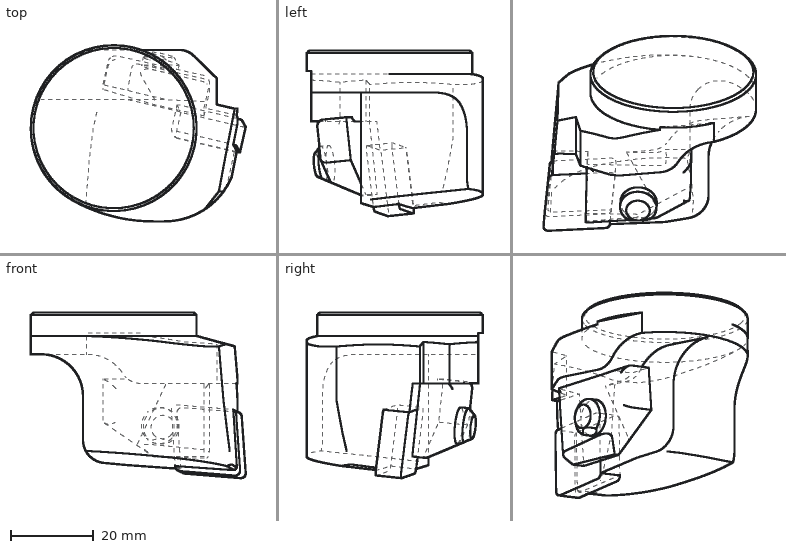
import cadquery as cq
import math


REACH = 62.25

COLLAR_DIAMETER = 40.0
COLLAR_RADIUS = COLLAR_DIAMETER / 2
COLLAR_CHAMFER = 0.7
SHOULDER_Z = -5.65
SHOULDER_ANGLE = 15.0
FULL_COLLAR_DEPTH = 5.0

BACK_Y = 18.9
BACK_BEND_X = 15.75
BACK_BEND_RADIUS = 5.1
SHELF_X = 24.9
SHELF_FRONT_Y = 5.7
SHELF_BACK_Y = 12.0
RAKE_TOP = (28.85, 4.75)
FRONT_Y = -22.5
FRONT_FLAT_START = 9.45
FRONT_FLAT_END = 12.25
FRONT_RIGHT_RADIUS = 17.65
FRONT_LEFT_RADIUS = 38.9

COLLAR_BOTTOM_Z = -10.1
NECK_X = -7.4
NECK_RADIUS = 10.0
BOTTOM_LEFT_RADIUS = 5.6
BLOCK_BACK_Y = 6.9
BOTTOM_START = (-2.95, BLOCK_BACK_Y, -36.25)
BOTTOM_SLOPE_X = -0.0935
BOTTOM_SLOPE_Y = -0.097

OVERHANG_Z = -17.1
OVERHANG_ARC_START_X = -6.2
OVERHANG_EDGE_RADIUS = 5.0

RELIEF_X = 27.6
RELIEF_SLOPE_Y = 0.192
RELIEF_SLOPE_Z = -0.0853
FACET_POINTS = ((25.35, -15.25, -8.25), (21.75, -19.85, -8.2), (26.55, -15.4, -23.2))

INSERT_TIP = cq.Vector(31.95, 0.1, -40.1)
INSERT_SIDE = 16.15
INSERT_ANGLE = 80.0
INSERT_THICKNESS = 6.35
INSERT_NOSE_RADIUS = 1.2
TIP_RELIEF = 2.1
RAKE_NORMAL = cq.Vector(0.225, 1.0, -0.107)
BOTTOM_EDGE = cq.Vector(-1.0, 0.234, 0.082)
RAKE_PLANE = cq.Plane(origin=INSERT_TIP, xDir=BOTTOM_EDGE, normal=RAKE_NORMAL)

FINGER_LEFT_X = -2.6
FINGER_RIGHT_X = 21.8
FINGER_TOP_Z = -16.1
FINGER_FLAT_END_Z = -26.45
FINGER_TIP_Z = -34.75
FINGER_HEIGHT = 7.8
FINGER_EDGE = 2.1
FINGER_TIP_SLOPE_START = (BLOCK_BACK_Y, -34.9)
FINGER_TIP_SLOPE_END = (15.25, -31.4)
BOSS_CENTRE = (9.35, -26.45)
BOSS_RADIUS = 4.4
BOSS_HEIGHT = 11.3
BOSS_CHAMFER = 1.55


def half_space(point, normal):
    """Large block filling the side of a plane that its normal points to."""
    plane = cq.Plane(origin=point, normal=normal)
    return cq.Workplane(plane).rect(2 * REACH, 2 * REACH).extrude(REACH)


def make_envelope():
    """Turned shape that bounds the collar and the sloping shoulder."""
    shoulder_radius = COLLAR_RADIUS + REACH
    shoulder_edge_z = SHOULDER_Z - REACH * math.tan(math.radians(SHOULDER_ANGLE))
    return (
        cq.Workplane("XZ")
        .moveTo(0, 0)
        .lineTo(COLLAR_RADIUS - COLLAR_CHAMFER, 0)
        .lineTo(COLLAR_RADIUS, -COLLAR_CHAMFER)
        .lineTo(COLLAR_RADIUS, SHOULDER_Z)
        .lineTo(shoulder_radius, shoulder_edge_z)
        .lineTo(shoulder_radius, -REACH)
        .lineTo(0, -REACH)
        .close()
        .revolve(360, (0, 0), (0, 1))
    )


def make_plan_column():
    """Holder outline extruded downwards."""
    arc_centre_y = FRONT_Y + FRONT_LEFT_RADIUS
    to_collar = COLLAR_RADIUS / (FRONT_LEFT_RADIUS - COLLAR_RADIUS)
    collar_tangent = (-FRONT_FLAT_START * to_collar, -arc_centre_y * to_collar)
    back_start_x = math.sqrt(COLLAR_RADIUS**2 - BACK_Y**2)
    bend = BACK_BEND_RADIUS * math.sin(math.radians(45))
    bend_end = (BACK_BEND_X + bend, BACK_Y - BACK_BEND_RADIUS + bend)
    right_arc_end = (FRONT_FLAT_END + FRONT_RIGHT_RADIUS, FRONT_Y + FRONT_RIGHT_RADIUS)
    return (
        cq.Workplane("XY")
        .moveTo(back_start_x, BACK_Y)
        .lineTo(BACK_BEND_X, BACK_Y)
        .radiusArc(bend_end, BACK_BEND_RADIUS)
        .lineTo(SHELF_X, SHELF_BACK_Y)
        .lineTo(SHELF_X, SHELF_FRONT_Y)
        .lineTo(*RAKE_TOP)
        .lineTo(right_arc_end[0], RAKE_TOP[1])
        .lineTo(*right_arc_end)
        .radiusArc((FRONT_FLAT_END, FRONT_Y), FRONT_RIGHT_RADIUS)
        .lineTo(FRONT_FLAT_START, FRONT_Y)
        .radiusArc(collar_tangent, FRONT_LEFT_RADIUS)
        .threePointArc((-COLLAR_RADIUS, 0), (back_start_x, BACK_Y))
        .close()
        .extrude(-REACH)
    )


def make_back_flat_cut():
    """Space behind the flat back, below the full-round part of the collar."""
    below_collar = half_space((0, 0, -FULL_COLLAR_DEPTH), (0, 0, -1))
    return half_space((0, BACK_Y, 0), (0, 1, 0)).intersect(below_collar)


def make_left_cut():
    """Space left of the neck, with the large arc under the collar and the lower corner arc."""
    slope = math.atan(-BOTTOM_SLOPE_X)
    corner_x = NECK_X + BOTTOM_LEFT_RADIUS
    corner_end_x = corner_x - BOTTOM_LEFT_RADIUS * math.sin(slope)
    corner_end_z = BOTTOM_START[2] - BOTTOM_SLOPE_X * (BOTTOM_START[0] - corner_end_x)
    corner_z = corner_end_z + BOTTOM_LEFT_RADIUS * math.cos(slope)
    neck_arc_x = NECK_X - NECK_RADIUS
    return (
        cq.Workplane("XZ", origin=(0, BLOCK_BACK_Y, 0))
        .moveTo(-REACH, COLLAR_BOTTOM_Z)
        .lineTo(neck_arc_x, COLLAR_BOTTOM_Z)
        .radiusArc((NECK_X, COLLAR_BOTTOM_Z - NECK_RADIUS), NECK_RADIUS)
        .lineTo(NECK_X, corner_z)
        .radiusArc((corner_end_x, corner_end_z), -BOTTOM_LEFT_RADIUS)
        .lineTo(corner_end_x, -REACH)
        .lineTo(-REACH, -REACH)
        .close()
        .extrude(REACH)
    )


def make_rear_cut():
    """Space behind the block, below an overhang shaped by a hollow and a rounded edge."""
    edge_centre_z = OVERHANG_Z + OVERHANG_EDGE_RADIUS
    hollow_centre_z = COLLAR_BOTTOM_Z - NECK_RADIUS
    arcs_span = NECK_RADIUS + OVERHANG_EDGE_RADIUS
    turn = math.acos((edge_centre_z - hollow_centre_z) / arcs_span)
    meet_x = OVERHANG_ARC_START_X + NECK_RADIUS * math.sin(turn)
    meet_z = hollow_centre_z + NECK_RADIUS * math.cos(turn)
    edge_end_x = OVERHANG_ARC_START_X + arcs_span * math.sin(turn)
    return (
        cq.Workplane("XZ", origin=(0, BLOCK_BACK_Y, 0))
        .moveTo(-REACH, COLLAR_BOTTOM_Z)
        .lineTo(OVERHANG_ARC_START_X, COLLAR_BOTTOM_Z)
        .radiusArc((meet_x, meet_z), NECK_RADIUS)
        .radiusArc((edge_end_x, OVERHANG_Z), -OVERHANG_EDGE_RADIUS)
        .lineTo(REACH, OVERHANG_Z)
        .lineTo(REACH, -REACH)
        .lineTo(-REACH, -REACH)
        .close()
        .extrude(-REACH)
    )


def make_rake_cut():
    """Space above the rake face, limited to the height below the overhang."""
    below_overhang = half_space((0, 0, OVERHANG_Z), (0, 0, -1))
    return half_space(INSERT_TIP, RAKE_NORMAL).intersect(below_overhang)


def make_bottom_cut():
    """Space below the underside, which slopes along X and Y."""
    return half_space(BOTTOM_START, (BOTTOM_SLOPE_X, BOTTOM_SLOPE_Y, -1))


def make_side_relief_cut():
    """Space right of the relief face."""
    return half_space((RELIEF_X, 0, 0), (1, -RELIEF_SLOPE_Y, -RELIEF_SLOPE_Z))


def make_corner_facet_cut():
    """Space outside the triangular facet on the upper front right corner."""
    first, second, third = [cq.Vector(*point) for point in FACET_POINTS]
    return half_space(first, (second - first).cross(third - first))


def make_tip_relief_cut():
    """Space outside the nose facet, square to the bisector of the insert's tip."""
    bisector = math.radians(INSERT_ANGLE / 2)
    inward = cq.Vector(math.cos(bisector), rake_side() * math.sin(bisector), 0)
    facet_point = RAKE_PLANE.toWorldCoords(inward * TIP_RELIEF)
    return half_space(facet_point, INSERT_TIP - facet_point)


def rake_side():
    """Sign of the rake plane's local Y that points up the part."""
    return math.copysign(1, RAKE_PLANE.yDir.z)


def make_insert():
    """Rhombic cutting insert below the rake face, with rounded corners."""
    angle = math.radians(INSERT_ANGLE)
    side_x = INSERT_SIDE * math.cos(angle)
    side_y = rake_side() * INSERT_SIDE * math.sin(angle)
    return (
        cq.Workplane(RAKE_PLANE)
        .polyline([(0, 0), (INSERT_SIDE, 0), (INSERT_SIDE + side_x, side_y), (side_x, side_y)])
        .close()
        .extrude(-INSERT_THICKNESS)
        .edges(cq.selectors.ParallelDirSelector(RAKE_NORMAL))
        .fillet(INSERT_NOSE_RADIUS)
    )


def rake_point(x, z):
    """Local rake plane coordinates of the rake face point at the given X and Z."""
    tip = INSERT_TIP
    y = tip.y - (RAKE_NORMAL.x * (x - tip.x) + RAKE_NORMAL.z * (z - tip.z)) / RAKE_NORMAL.y
    local = RAKE_PLANE.toLocalCoords(cq.Vector(x, y, z))
    return (local.x, local.y)


def make_finger():
    """Clamp finger rising from the rake face, with a sloping tip and a round boss."""
    middle_x = (FINGER_LEFT_X + FINGER_RIGHT_X) / 2
    outline = [
        rake_point(FINGER_LEFT_X, FINGER_TOP_Z),
        rake_point(FINGER_LEFT_X, FINGER_FLAT_END_Z),
        rake_point(middle_x, FINGER_TIP_Z),
        rake_point(FINGER_RIGHT_X, FINGER_TIP_Z),
        rake_point(FINGER_RIGHT_X, FINGER_TOP_Z),
    ]
    finger = cq.Workplane(RAKE_PLANE).polyline(outline).close().extrude(FINGER_HEIGHT)
    finger = finger.faces(cq.selectors.DirectionMinMaxSelector(RAKE_NORMAL)).edges().fillet(FINGER_EDGE)
    boss = cq.Workplane(RAKE_PLANE).center(*rake_point(*BOSS_CENTRE)).circle(BOSS_RADIUS).extrude(BOSS_HEIGHT)
    boss = boss.faces(cq.selectors.DirectionMinMaxSelector(RAKE_NORMAL)).edges().chamfer(BOSS_CHAMFER)
    slope_y = FINGER_TIP_SLOPE_END[0] - FINGER_TIP_SLOPE_START[0]
    slope_z = FINGER_TIP_SLOPE_END[1] - FINGER_TIP_SLOPE_START[1]
    below_tip = half_space((0, *FINGER_TIP_SLOPE_START), (0, slope_z, -slope_y))
    return finger.cut(below_tip).union(boss.cut(below_tip))


def make_holder(insert):
    holder = make_plan_column().intersect(make_envelope())
    for cut in (
        make_back_flat_cut(),
        make_left_cut(),
        make_rear_cut(),
        make_rake_cut(),
        make_bottom_cut(),
        make_side_relief_cut(),
        make_corner_facet_cut(),
        make_tip_relief_cut(),
    ):
        holder = holder.cut(cut)
    return holder.union(make_finger()).cut(insert)


insert = make_insert()
holder = make_holder(insert)
result = cq.Compound.makeCompound([holder.val(), insert.val()])